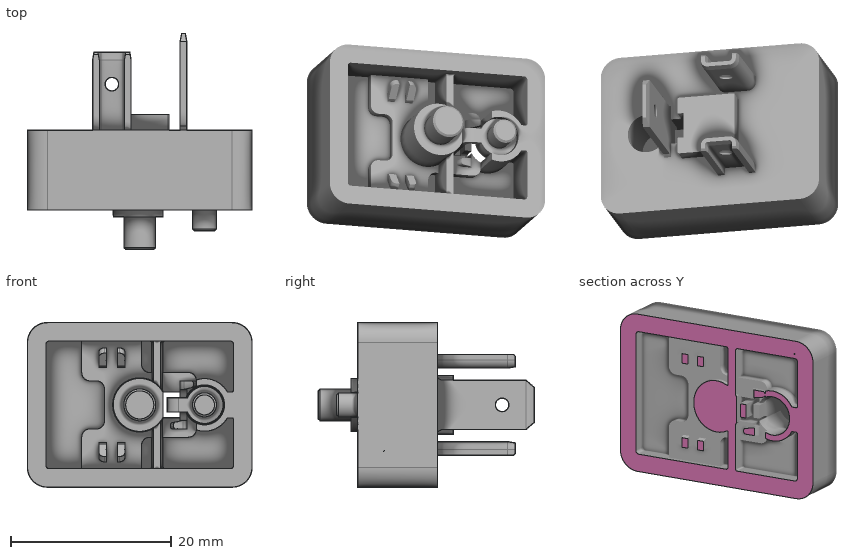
import cadquery as cq
import math


HOUSING_WIDTH = 28.1
HOUSING_HEIGHT = 20.6
HOUSING_DEPTH = 10.0
HOUSING_RADIUS = 2.5
WALL = 2.33
CAVITY_WIDTH = HOUSING_WIDTH - 2 * WALL
CAVITY_HEIGHT = HOUSING_HEIGHT - 2 * WALL
CAVITY_RADIUS = 0.4
FLOOR_Y = 6.0

PLATE_Y = 4.8
PLATE_LEFT_X = -7.25
PLATE_NOTCH_X = -4.4
PLATE_NOTCH_HALF_HEIGHT = 3.0
PLATE_STEP_X = 0.22
PLATE_RIGHT_X = 7.08
PLATE_ARM_HALF_HEIGHT = 4.05
PLATE_RADIUS = 1.0

RIB_Y = 1.75
RIB_LEFT_X = 1.5
RIB_RIGHT_X = 2.92
RIB_LEFT_DRAFT = 0.22
RIB_RIGHT_DRAFT = 0.3

BOSS_Y = -0.85
BOSS_FRONT_RADIUS = 3.32
BOSS_BASE_RADIUS = 3.4
CENTRE_PIN_DIAMETER = 4.0
CENTRE_PIN_TIP_DIAMETER = 3.5
CENTRE_PIN_TIP_Y = -4.92

GROUND_X = 8.1
SLEEVE_RADIUS = 3.3
SLEEVE_BORE_RADIUS = 2.47
SLEEVE_WEB_HALF_HEIGHT = 1.63

CORNER_FILLET = 0.2

WINDOW_RIGHT_X = 5.03
WINDOW_HALF_HEIGHT = 1.6

GROUND_PIN_DIAMETER = 3.0
GROUND_PIN_TIP_DIAMETER = 2.5
GROUND_PIN_TIP_Y = -2.6
WASHER_RADIUS = 2.35
WASHER_Y = 0.5
HEAD_RADIUS = 2.3
HEAD_END_Y = 3.0

SHEET = 0.87
BLADE_X = WINDOW_RIGHT_X
BLADE_TIP_Y = 22.1
BLADE_HALF_WIDTH = 3.1
BLADE_TIP_HALF_WIDTH = 2.2
BLADE_SHOULDER = 0.28
BLADE_SHOULDER_LENGTH = 0.48
BLADE_TIP_LENGTH = 1.05
BLADE_TIP_TAPER = 0.2
BLADE_HOLE_Y = 18.07
CONTACT_HOLE_DIAMETER = 1.65
TONGUE_X = 3.43
TONGUE_HALF_HEIGHT = 0.9
TONGUE_BEND_RADIUS = 1.43
TONGUE_END_Y = 7.87

TAB_INNER_Z = 1.95
TAB_OUTER_Z = 3.0
TAB_BEND_START_Y = 4.97
TAB_TILT = math.radians(27)
TAB_FLAT_LENGTH = 1.35
TAB_NARROWING = 0.35
TAB_CORNER_RADIUS = 0.3

NOTCH_RADIUS = 0.53
NOTCH_END_Y = 6.75

BLOCK_HALF_WIDTH = 3.68
BLOCK_LENGTH = 1.97
BLOCK_RADIUS = 0.2

CHANNEL_X = -3.48
CHANNEL_WIDTH = 4.83
CHANNEL_INNER_Z = 4.58
CHANNEL_OUTER_Z = 6.32
CHANNEL_SHEET = 0.85
CHANNEL_RADIUS = 1.0
CHANNEL_INNER_RADIUS = 0.2
CHANNEL_TIP_Y = 19.73
CHANNEL_TIP_LENGTH = 0.98
CHANNEL_TIP_TAPER = 0.17
CHANNEL_TIP_CHAMFER = 0.25
CHANNEL_HOLE_Y = 15.75

PRONG_SPAN = 3.23
PRONG_WIDTH = 0.93
PRONG_ROOT_Z = 4.52
PRONG_BEND_Z = 4.85
PRONG_BEND_Y = 4.15
PRONG_TIP_Y = 2.65
PRONG_TIP_Z = 6.45
PRONG_THICKNESS = 0.95
PRONG_RADIUS = 0.67

OVERLAP = 0.55


def section(y):
    """Workplane across the part at depth y, with local axes along X and Z."""
    return cq.Workplane("XZ", origin=(0, y, 0))


def box(x_range, y_range, z_range):
    sizes = [high - low for low, high in (x_range, y_range, z_range)]
    corner = (x_range[0], y_range[0], z_range[0])
    return cq.Workplane("XY").box(*sizes, centered=False).translate(corner)


def cylinder(x, radius, y_start, y_end):
    return section(y_start).center(x, 0).circle(radius).extrude(y_start - y_end)


def pin(x, diameter, tip_diameter, tip_y, root_y):
    """Round pin pointing toward -Y with a chamfered tip."""
    body = cylinder(x, diameter / 2, tip_y, root_y)
    return body.faces("<Y").chamfer((diameter - tip_diameter) / 2)


def mirrored_pair(body):
    return body.union(body.mirror("XY"))


def housing():
    shell = section(0).rect(HOUSING_WIDTH, HOUSING_HEIGHT).extrude(-HOUSING_DEPTH)
    shell = shell.edges("|Y").fillet(HOUSING_RADIUS)
    cavity = section(0).rect(CAVITY_WIDTH, CAVITY_HEIGHT).extrude(-FLOOR_Y)
    return shell.cut(cavity.edges("|Y").fillet(CAVITY_RADIUS))


def raised_plate():
    """Plate with a rounded notch on its left and a rounded arm on its right."""
    half_height = CAVITY_HEIGHT / 2
    upper = [
        (PLATE_NOTCH_X, PLATE_NOTCH_HALF_HEIGHT),
        (PLATE_LEFT_X, PLATE_NOTCH_HALF_HEIGHT),
        (PLATE_LEFT_X, half_height),
        (PLATE_STEP_X, half_height),
        (PLATE_STEP_X, PLATE_ARM_HALF_HEIGHT),
        (PLATE_RIGHT_X, PLATE_ARM_HALF_HEIGHT),
    ]
    lower = [(x, -z) for x, z in reversed(upper)]
    plate = section(PLATE_Y).polyline(upper + lower).close().extrude(PLATE_Y - FLOOR_Y)
    away_from_walls = half_height - OVERLAP
    inner_edges = cq.selectors.BoxSelector(
        (-HOUSING_WIDTH, -HOUSING_DEPTH, -away_from_walls),
        (HOUSING_WIDTH, HOUSING_DEPTH, away_from_walls),
    )
    return plate.edges("|Y").edges(inner_edges).fillet(PLATE_RADIUS)


def rib():
    outline = [
        (RIB_LEFT_X, FLOOR_Y),
        (RIB_LEFT_X + RIB_LEFT_DRAFT, RIB_Y),
        (RIB_RIGHT_X - RIB_RIGHT_DRAFT, RIB_Y),
        (RIB_RIGHT_X, FLOOR_Y),
    ]
    profile = cq.Workplane("XY").polyline(outline).close()
    return profile.extrude(CAVITY_HEIGHT / 2, both=True)


def centre_boss():
    """Slightly conical boss with a flat on its right side."""
    boss = section(BOSS_Y).circle(BOSS_FRONT_RADIUS)
    boss = boss.workplane(offset=BOSS_Y - FLOOR_Y).circle(BOSS_BASE_RADIUS).loft()
    beyond_flat = box(
        (RIB_RIGHT_X, HOUSING_WIDTH), (BOSS_Y, FLOOR_Y), (-BOSS_BASE_RADIUS, BOSS_BASE_RADIUS)
    )
    return boss.cut(beyond_flat)


def sleeve():
    """C-shaped sleeve, open on its left and tied to the right wall of the cavity."""
    body = cylinder(GROUND_X, SLEEVE_RADIUS, 0, FLOOR_Y)
    body = body.union(
        box(
            (GROUND_X, CAVITY_WIDTH / 2 + OVERLAP),
            (0, FLOOR_Y),
            (-SLEEVE_WEB_HALF_HEIGHT, SLEEVE_WEB_HALF_HEIGHT),
        )
    )
    beyond_edge = box((0, PLATE_RIGHT_X), (0, FLOOR_Y), (-SLEEVE_RADIUS, SLEEVE_RADIUS))
    return body.cut(beyond_edge)


def blade_slot():
    """Clearance in the plate and floor for the middle of the blade."""
    return box((BLADE_X, BLADE_X + SHEET), (PLATE_Y, HOUSING_DEPTH), (-TAB_INNER_Z, TAB_INNER_Z))


def fillet_wall_corners(body):
    """Round the inner corners where the rib and the sleeve web meet the cavity walls."""
    wall_x = CAVITY_WIDTH / 2
    wall_z = CAVITY_HEIGHT / 2
    rib_middle_y = (RIB_Y + FLOOR_Y) / 2
    corners = [
        (RIB_LEFT_X + RIB_LEFT_DRAFT / 2, rib_middle_y, wall_z),
        (RIB_RIGHT_X - RIB_RIGHT_DRAFT / 2, rib_middle_y, wall_z),
        (wall_x, FLOOR_Y / 2, SLEEVE_WEB_HALF_HEIGHT),
    ]
    for x, y, z in corners:
        for side in (-1, 1):
            corner = cq.selectors.NearestToPointSelector((x, y, side * z))
            body = body.edges(corner).fillet(CORNER_FILLET)
    return body


def guide_block():
    side = 2 * BLOCK_HALF_WIDTH
    block = section(HOUSING_DEPTH).rect(side, side).extrude(-BLOCK_LENGTH)
    return block.edges("|Y").fillet(BLOCK_RADIUS)


def window():
    return box(
        (RIB_RIGHT_X, WINDOW_RIGHT_X),
        (PLATE_Y - OVERLAP, HOUSING_DEPTH + BLOCK_LENGTH),
        (-WINDOW_HALF_HEIGHT, WINDOW_HALF_HEIGHT),
    )


def relief_notch(z):
    """Round-ended notch cut into the blade from its front edge."""
    end_centre_y = NOTCH_END_Y - NOTCH_RADIUS
    across_blade = (BLADE_X, BLADE_X + SHEET)
    straight = box(across_blade, (0, end_centre_y), (z - NOTCH_RADIUS, z + NOTCH_RADIUS))
    end = cq.Workplane("YZ", origin=(BLADE_X, end_centre_y, z)).circle(NOTCH_RADIUS).extrude(SHEET)
    return straight.union(end)


def blade():
    """Flat blade standing in a plane across X, with a bevelled tip."""
    tip_start_y = BLADE_TIP_Y - BLADE_TIP_LENGTH
    shoulder_half_width = BLADE_HALF_WIDTH + BLADE_SHOULDER
    upper = [
        (PLATE_Y, TAB_INNER_Z),
        (FLOOR_Y, TAB_INNER_Z),
        (FLOOR_Y, shoulder_half_width),
        (HOUSING_DEPTH, shoulder_half_width),
        (HOUSING_DEPTH + BLADE_SHOULDER_LENGTH, BLADE_HALF_WIDTH),
        (tip_start_y, BLADE_HALF_WIDTH),
        (BLADE_TIP_Y, BLADE_TIP_HALF_WIDTH),
    ]
    lower = [(y, -z) for y, z in reversed(upper)]
    flat = cq.Workplane("YZ", origin=(BLADE_X, 0, 0)).polyline(upper + lower).close().extrude(SHEET)
    edge_profile = [
        (BLADE_X, PLATE_Y),
        (BLADE_X, tip_start_y),
        (BLADE_X + BLADE_TIP_TAPER, BLADE_TIP_Y),
        (BLADE_X + SHEET - BLADE_TIP_TAPER, BLADE_TIP_Y),
        (BLADE_X + SHEET, tip_start_y),
        (BLADE_X + SHEET, PLATE_Y),
    ]
    bevelled = cq.Workplane("XY").polyline(edge_profile).close()
    flat = flat.intersect(bevelled.extrude(shoulder_half_width, both=True))
    for side in (-1, 1):
        flat = flat.cut(relief_notch(side * (TAB_INNER_Z - NOTCH_RADIUS)))
    hole = cq.Workplane("YZ", origin=(BLADE_X, 0, 0)).center(BLADE_HOLE_Y, 0)
    return flat.cut(hole.circle(CONTACT_HOLE_DIAMETER / 2).extrude(SHEET))


def blade_tab():
    """Narrowing tab folded over the plate toward +X from the upper part of the blade."""
    hinge_x = BLADE_X + SHEET
    face_x = -math.sin(TAB_TILT)
    face_y = -math.cos(TAB_TILT)
    flat_x = TAB_FLAT_LENGTH * math.cos(TAB_TILT)
    flat_y = -TAB_FLAT_LENGTH * math.sin(TAB_TILT)
    bend_x = hinge_x + SHEET * face_x
    bend_y = TAB_BEND_START_Y + SHEET * face_y
    tip_x = hinge_x + flat_x
    root_y = FLOOR_Y + OVERLAP
    outline = (
        cq.Workplane("XY", origin=(0, 0, TAB_INNER_Z))
        .moveTo(BLADE_X, root_y)
        .lineTo(BLADE_X, TAB_BEND_START_Y)
        .radiusArc((bend_x, bend_y), -SHEET)
        .lineTo(bend_x + flat_x, bend_y + flat_y)
        .lineTo(tip_x, TAB_BEND_START_Y + flat_y)
        .lineTo(hinge_x, TAB_BEND_START_Y)
        .lineTo(hinge_x, root_y)
        .close()
    )
    tab = outline.extrude(TAB_OUTER_Z - TAB_INNER_Z)
    narrowing = [(bend_x, TAB_INNER_Z), (tip_x, TAB_INNER_Z), (tip_x, TAB_INNER_Z + TAB_NARROWING)]
    tab = tab.cut(section(0).polyline(narrowing).close().extrude(-root_y))
    tip_middle = (
        (bend_x + hinge_x) / 2 + flat_x,
        (bend_y + TAB_BEND_START_Y) / 2 + flat_y,
    )
    for tip_z in (TAB_OUTER_Z, TAB_INNER_Z + TAB_NARROWING):
        corner = cq.selectors.NearestToPointSelector((*tip_middle, tip_z))
        tab = tab.edges(corner).fillet(TAB_CORNER_RADIUS)
    return tab


def tongue():
    """Strip from the blade through the window, bent over to reach the washer."""
    inner_radius = TONGUE_BEND_RADIUS - SHEET
    bend_x = TONGUE_X + TONGUE_BEND_RADIUS
    bend_y = WASHER_Y + TONGUE_BEND_RADIUS
    outline = (
        cq.Workplane("XY")
        .moveTo(GROUND_X, WASHER_Y)
        .lineTo(bend_x, WASHER_Y)
        .radiusArc((TONGUE_X, bend_y), TONGUE_BEND_RADIUS)
        .lineTo(TONGUE_X, TONGUE_END_Y)
        .lineTo(BLADE_X + SHEET, TONGUE_END_Y)
        .lineTo(BLADE_X + SHEET, TONGUE_END_Y - SHEET)
        .lineTo(TONGUE_X + SHEET, TONGUE_END_Y - SHEET)
        .lineTo(TONGUE_X + SHEET, bend_y)
        .radiusArc((bend_x, WASHER_Y + SHEET), -inner_radius)
        .lineTo(GROUND_X, WASHER_Y + SHEET)
        .close()
    )
    return outline.extrude(TONGUE_HALF_HEIGHT, both=True)


def ground_contact():
    washer = cylinder(GROUND_X, WASHER_RADIUS, WASHER_Y, WASHER_Y + SHEET)
    head = cylinder(GROUND_X, HEAD_RADIUS, WASHER_Y, HEAD_END_Y)
    ground_pin = pin(
        GROUND_X, GROUND_PIN_DIAMETER, GROUND_PIN_TIP_DIAMETER, GROUND_PIN_TIP_Y, WASHER_Y + SHEET
    )
    upper_tab = blade_tab()
    blade_axis = ((BLADE_X + SHEET / 2, 0, 0), (BLADE_X + SHEET / 2, 1, 0))
    lower_tab = upper_tab.rotate(*blade_axis, 180)
    contact = blade().union(tongue()).union(washer).union(head).union(ground_pin)
    return contact.union(upper_tab).union(lower_tab)


def channel_section(y):
    """U-shaped outline, open toward +Z and extended past its outer edge."""
    half = CHANNEL_WIDTH / 2
    inner_half = half - CHANNEL_SHEET
    top = CHANNEL_OUTER_Z + OVERLAP
    web_z = CHANNEL_INNER_Z + CHANNEL_SHEET
    return (
        section(y)
        .moveTo(CHANNEL_X - half, top)
        .lineTo(CHANNEL_X - half, CHANNEL_INNER_Z + CHANNEL_RADIUS)
        .radiusArc((CHANNEL_X - half + CHANNEL_RADIUS, CHANNEL_INNER_Z), -CHANNEL_RADIUS)
        .lineTo(CHANNEL_X + half - CHANNEL_RADIUS, CHANNEL_INNER_Z)
        .radiusArc((CHANNEL_X + half, CHANNEL_INNER_Z + CHANNEL_RADIUS), -CHANNEL_RADIUS)
        .lineTo(CHANNEL_X + half, top)
        .lineTo(CHANNEL_X + inner_half, top)
        .lineTo(CHANNEL_X + inner_half, web_z + CHANNEL_INNER_RADIUS)
        .radiusArc((CHANNEL_X + inner_half - CHANNEL_INNER_RADIUS, web_z), CHANNEL_INNER_RADIUS)
        .lineTo(CHANNEL_X - inner_half + CHANNEL_INNER_RADIUS, web_z)
        .radiusArc((CHANNEL_X - inner_half, web_z + CHANNEL_INNER_RADIUS), CHANNEL_INNER_RADIUS)
        .lineTo(CHANNEL_X - inner_half, top)
        .close()
    )


def channel_terminal():
    """Upper channel terminal with a tapered tip and a contact hole."""
    tip_start_y = CHANNEL_TIP_Y - CHANNEL_TIP_LENGTH
    root_y = HOUSING_DEPTH - OVERLAP
    taper = math.degrees(math.atan(CHANNEL_TIP_TAPER / CHANNEL_TIP_LENGTH))
    shank = channel_section(root_y).extrude(root_y - tip_start_y)
    tip = channel_section(tip_start_y).extrude(-CHANNEL_TIP_LENGTH, taper=taper)
    envelope = box(
        (CHANNEL_X - CHANNEL_WIDTH, CHANNEL_X + CHANNEL_WIDTH),
        (root_y, CHANNEL_TIP_Y),
        (0, CHANNEL_OUTER_Z),
    )
    envelope = envelope.faces(">Y").edges(">Z").chamfer(CHANNEL_TIP_CHAMFER)
    hole = cq.Workplane("XY").center(CHANNEL_X, CHANNEL_HOLE_Y)
    hole = hole.circle(CONTACT_HOLE_DIAMETER / 2).extrude(CHANNEL_OUTER_Z)
    return shank.union(tip).intersect(envelope).cut(hole)


def prongs():
    """Two prongs of the upper terminal, bent away from Z = 0, with rounded outer tip corners."""
    rise = PRONG_TIP_Z - PRONG_BEND_Z
    run = PRONG_BEND_Y - PRONG_TIP_Y
    slope_length = math.hypot(rise, run)
    thick_y = PRONG_THICKNESS * rise / slope_length
    thick_z = PRONG_THICKNESS * run / slope_length
    back_y = PLATE_Y + OVERLAP
    end_y = PRONG_TIP_Y + thick_y
    end_z = PRONG_TIP_Z + thick_z
    outline = [
        (back_y, PRONG_ROOT_Z),
        (PRONG_BEND_Y, PRONG_BEND_Z),
        (PRONG_TIP_Y, PRONG_TIP_Z),
        (end_y, end_z),
        (back_y, end_z - (back_y - end_y) * rise / run),
    ]
    left_x = CHANNEL_X - PRONG_SPAN / 2
    left = cq.Workplane("YZ", origin=(left_x, 0, 0)).polyline(outline).close().extrude(PRONG_WIDTH)
    tip_corner = cq.selectors.NearestToPointSelector(
        (left_x, PRONG_TIP_Y + thick_y / 2, PRONG_TIP_Z + thick_z / 2)
    )
    left = left.edges(tip_corner).fillet(PRONG_RADIUS)
    return left.union(left.mirror("YZ", (CHANNEL_X, 0, 0)))


def build():
    body = housing().union(raised_plate()).union(rib()).union(centre_boss()).union(sleeve())
    body = fillet_wall_corners(body).union(guide_block())
    body = body.cut(window()).cut(blade_slot())
    body = body.cut(cylinder(GROUND_X, SLEEVE_BORE_RADIUS, 0, HOUSING_DEPTH))
    body = body.union(
        pin(0, CENTRE_PIN_DIAMETER, CENTRE_PIN_TIP_DIAMETER, CENTRE_PIN_TIP_Y, FLOOR_Y)
    )
    body = body.union(ground_contact())
    return body.union(mirrored_pair(channel_terminal())).union(mirrored_pair(prongs()))


result = build()